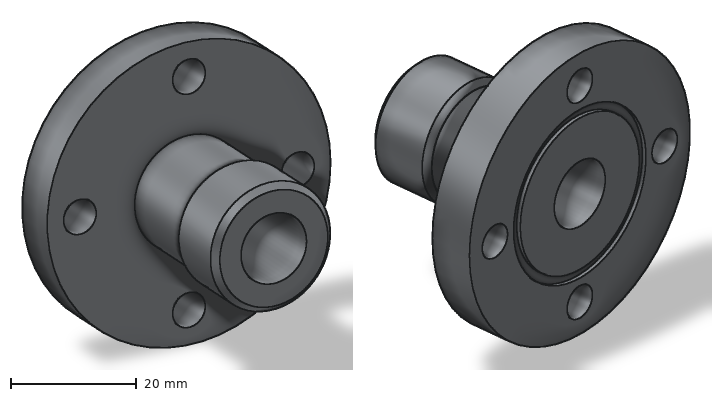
import cadquery as cq

flange_diameter = 52.0
flange_thickness = 8.0
total_length = 35.0

neck_diameter = 19.9
head_diameter = 22.0
head_length = 12.2
head_chamfer = 1.1

bore_diameter = 12.0
bolt_hole_diameter = 6.0
bolt_circle_diameter = 40.0
bolt_count = 4

groove_outer_diameter = 31.2
groove_inner_diameter = 28.05
groove_depth = 0.8


def cylinder(diameter, start, length):
    """Solid cylinder along +X, beginning at X = start."""
    return cq.Workplane("YZ", origin=(start, 0, 0)).circle(diameter / 2).extrude(length)


flange = cylinder(flange_diameter, 0, flange_thickness)
neck = cylinder(neck_diameter, 0, total_length - head_length)
head = cylinder(head_diameter, total_length - head_length, head_length)
head = head.faces("<X or >X").chamfer(head_chamfer)
body = flange.union(neck).union(head)

body = body.cut(cylinder(bore_diameter, 0, total_length))

bolt_holes = (
    cq.Workplane("YZ")
    .polarArray(bolt_circle_diameter / 2, 0, 360, bolt_count)
    .circle(bolt_hole_diameter / 2)
    .extrude(flange_thickness)
)
body = body.cut(bolt_holes)

groove = cylinder(groove_outer_diameter, 0, groove_depth).cut(
    cylinder(groove_inner_diameter, 0, groove_depth)
)
result = body.cut(groove)